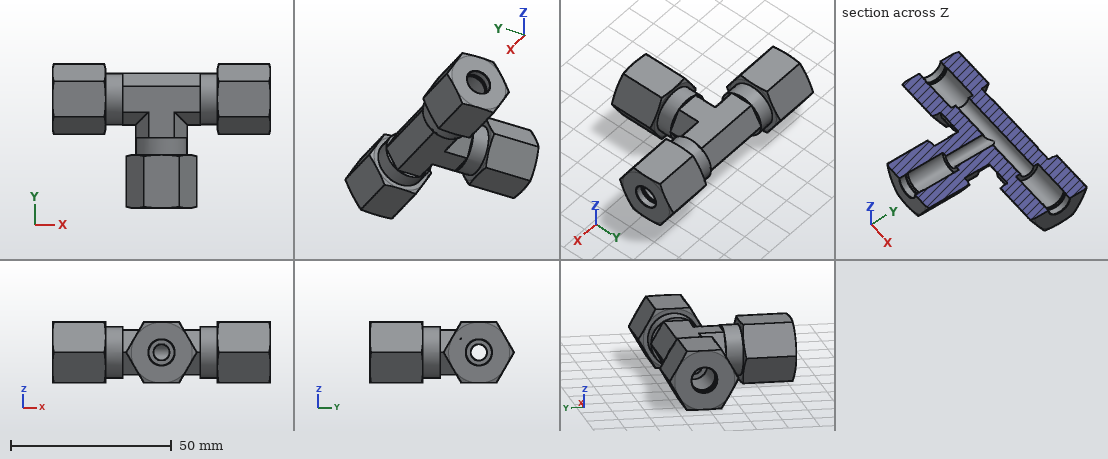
import cadquery as cq
import math

body_flats = 14.0
body_corners = body_flats / math.cos(math.pi / 6)
body_reach = 12.0

collar_diameter = 16.0

nut_flats = 19.0
nut_corners = nut_flats / math.cos(math.pi / 6)
nut_start = 17.4
nut_end = 33.9
nut_chamfer_angle = 15.0

flow_diameter = 5.0
tube_diameter = 8.0
tube_stop = 17.0
rim_chamfer = 0.15
rim_diameter = tube_diameter + 2 * rim_chamfer
lip_length = 2.5
groove_width = 0.15
ring_length = 0.75
socket_diameter = rim_diameter

arm_angles = (0, 180, -90)


def revolve_about_x(profile):
    return profile.close().revolve(360, (0, 0, 0), (1, 0, 0))


def hex_bar(corners, start, end):
    """Hexagonal bar along +X with flats facing +Z and -Z."""
    return cq.Workplane("YZ").workplane(offset=start).polygon(6, corners).extrude(end - start)


def chamfered_nut():
    """Hexagonal nut whose corners are turned down to the flats at both ends."""
    corner_radius = nut_corners / 2
    flat_radius = nut_flats / 2
    setback = (corner_radius - flat_radius) * math.tan(math.radians(nut_chamfer_angle))
    turned_blank = revolve_about_x(
        cq.Workplane("XY")
        .moveTo(nut_start, 0)
        .lineTo(nut_start, flat_radius)
        .lineTo(nut_start + setback, corner_radius)
        .lineTo(nut_end - setback, corner_radius)
        .lineTo(nut_end, flat_radius)
        .lineTo(nut_end, 0)
    )
    return hex_bar(nut_corners, nut_start, nut_end).intersect(turned_blank)


def collar():
    length = nut_start - body_reach
    return cq.Workplane("YZ").workplane(offset=body_reach).circle(collar_diameter / 2).extrude(length)


def arm():
    return hex_bar(body_corners, 0, body_reach).union(collar()).union(chamfered_nut())


def arm_bore():
    """Flow passage, socket, retaining ring, narrow groove and chamfered entry lip of one arm."""
    lip_end = nut_end - lip_length
    ring_start = lip_end - groove_width
    ring_end = ring_start - ring_length
    return revolve_about_x(
        cq.Workplane("XY")
        .moveTo(0, 0)
        .lineTo(0, flow_diameter / 2)
        .lineTo(tube_stop, flow_diameter / 2)
        .lineTo(tube_stop, socket_diameter / 2)
        .lineTo(ring_end, socket_diameter / 2)
        .lineTo(ring_end, tube_diameter / 2)
        .lineTo(ring_start, tube_diameter / 2)
        .lineTo(ring_start, rim_diameter / 2)
        .lineTo(lip_end, rim_diameter / 2)
        .lineTo(lip_end, tube_diameter / 2)
        .lineTo(nut_end - rim_chamfer, tube_diameter / 2)
        .lineTo(nut_end, rim_diameter / 2)
        .lineTo(nut_end, 0)
    )


def on_all_arms(shape):
    """Union of copies of a +X arm shape, one for each arm."""
    combined = cq.Workplane("XY")
    for angle in arm_angles:
        combined = combined.add(shape.rotate((0, 0, 0), (0, 0, 1), angle))
    return combined.combine()


result = on_all_arms(arm()).cut(on_all_arms(arm_bore()))